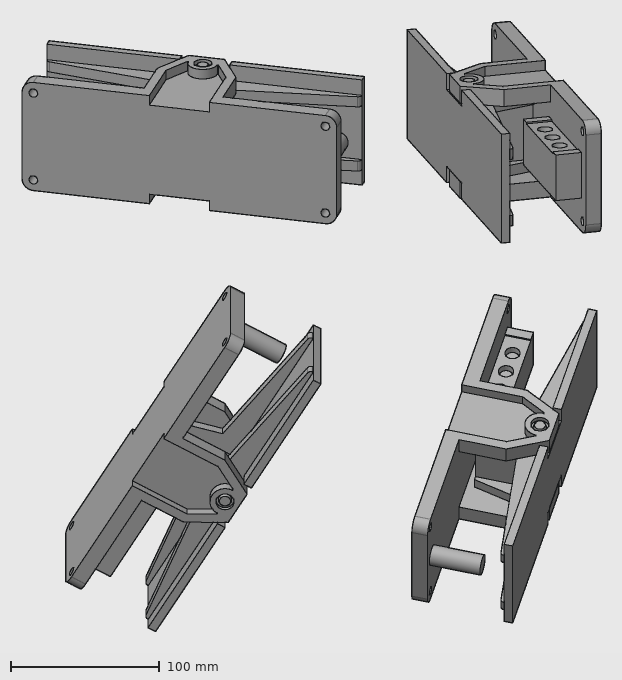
import cadquery as cq
import math

BASE_LENGTH = 219.5
BASE_HEIGHT = 80.0
BASE_THICKNESS = 11.0
CORNER_RADIUS = 8.0
MOUNT_HOLE_DIAMETER = 6.0

CHEEK_WIDTH = 55.0
CHEEK_TOP_WIDTH = 25.0
CHEEK_SHOULDER_Y = 43.8
CHEEK_TOP_Y = 70.0
CHEEK_THICKNESS = 12.0
POCKET_WALL = 6.5
POCKET_SHOULDER_Y = 42.5
POCKET_DEPTH = 7.0
BOSS_DIAMETER = 20.2

PIVOT_Y = 60.0
PIN_DIAMETER = 9.0
PIN_TIP_DIAMETER = 7.5
PIN_RECESS = 0.9
COUNTERBORE_DIAMETER = 12.0
COUNTERBORE_DEPTH = 3.0

BLOCK_LEFT = -99.7
BLOCK_LENGTH = 75.7
BLOCK_RISE = 18.0
BLOCK_HEIGHT = 32.5
BLOCK_END_WALL = 6.8
BLOCK_RECESS = 1.0
SOCKET_COUNT = 3
SOCKET_PITCH = 17.0
SOCKET_MOUTH_DIAMETER = 10.1
SOCKET_FLOOR_DIAMETER = 9.0
SOCKET_DEPTH = 4.5

POST_X = 98.1
POST_DIAMETER = 14.0
POST_TOP_Y = 46.2

PEDAL_LENGTH = 220.0
PEDAL_HEIGHT = 77.9
PEDAL_TOP_Y = 70.5
PEDAL_THICKNESS = 6.0
NOTCH_WIDTH = 35.0
SIDE_GAP = 0.5
RIB_THICKNESS = 7.5
RIB_END_Y = 61.8
RIB_CORNER_RADIUS = 2.6
ARM_TOP_Y = 48.8
ARM_BOTTOM_Y = 16.5
ARM_TOP_WIDTH = 32.1
ARM_BOTTOM_WIDTH = 15.5
WEB_THICKNESS = 10.0

cheek_outer_z = BASE_HEIGHT / 2
cheek_inner_z = cheek_outer_z - CHEEK_THICKNESS
pocket_floor_z = cheek_outer_z - POCKET_DEPTH
counterbore_floor_z = cheek_outer_z - COUNTERBORE_DEPTH
rib_outer_z = cheek_inner_z - SIDE_GAP
rib_inner_z = rib_outer_z - RIB_THICKNESS
plate_front_y = PEDAL_TOP_Y - PEDAL_THICKNESS
block_middle_x = BLOCK_LEFT + BLOCK_LENGTH / 2


def box(x_range, y_range, z_range):
    """Box between the given limits along each axis."""
    (x0, x1), (y0, y1), (z0, z1) = x_range, y_range, z_range
    return cq.Workplane("XY").box(x1 - x0, y1 - y0, z1 - z0, centered=False).translate((x0, y0, z0))


def centered_range(size):
    """Limits of a length centered on zero."""
    return -size / 2, size / 2


def z_plane(z):
    """Workplane parallel to XY at the given height."""
    return cq.Workplane("XY").workplane(offset=z)


def with_mirror(shape):
    """The shape joined with its reflection below the z = 0 plane."""
    return shape.union(shape.mirror("XY"))


def base_plate():
    plate = box(centered_range(BASE_LENGTH), (0, BASE_THICKNESS), centered_range(BASE_HEIGHT))
    plate = plate.edges("|Y").fillet(CORNER_RADIUS)
    return (
        plate.faces("<Y").workplane(centerOption="CenterOfBoundBox")
        .rect(BASE_LENGTH - 2 * CORNER_RADIUS, BASE_HEIGHT - 2 * CORNER_RADIUS, forConstruction=True)
        .vertices().hole(MOUNT_HOLE_DIAMETER)
    )


def cheek():
    """Upper cheek, with the pivot hole still to be cut."""
    half, half_top = CHEEK_WIDTH / 2, CHEEK_TOP_WIDTH / 2
    return (
        z_plane(cheek_inner_z)
        .polyline([(-half, 0), (-half, CHEEK_SHOULDER_Y), (-half_top, CHEEK_TOP_Y),
                   (half_top, CHEEK_TOP_Y), (half, CHEEK_SHOULDER_Y), (half, 0)])
        .close().extrude(CHEEK_THICKNESS)
    )


def cheek_pocket():
    """Pocket open at the foot of the cheek, running up to the round boss at the pivot."""
    lean = math.atan2((CHEEK_WIDTH - CHEEK_TOP_WIDTH) / 2, CHEEK_TOP_Y - CHEEK_SHOULDER_Y)
    half = CHEEK_WIDTH / 2 - POCKET_WALL
    half_top = half - (PIVOT_Y - POCKET_SHOULDER_Y) * math.tan(lean)
    pocket = (
        z_plane(pocket_floor_z)
        .polyline([(-half, 0), (-half, POCKET_SHOULDER_Y), (-half_top, PIVOT_Y),
                   (half_top, PIVOT_Y), (half, POCKET_SHOULDER_Y), (half, 0)])
        .close().extrude(POCKET_DEPTH)
    )
    boss = z_plane(pocket_floor_z).center(0, PIVOT_Y).circle(BOSS_DIAMETER / 2).extrude(POCKET_DEPTH)
    return pocket.cut(boss)


def pivot_hole():
    hole = z_plane(cheek_inner_z).center(0, PIVOT_Y).circle(PIN_DIAMETER / 2).extrude(CHEEK_THICKNESS)
    counterbore = (
        z_plane(counterbore_floor_z).center(0, PIVOT_Y)
        .circle(COUNTERBORE_DIAMETER / 2).extrude(COUNTERBORE_DEPTH)
    )
    return hole.union(counterbore)


def socket_block():
    """Block with a shallow recess between its end walls and a row of tapered sockets."""
    top_y = BASE_THICKNESS + BLOCK_RISE
    block_right = BLOCK_LEFT + BLOCK_LENGTH
    recess_floor_z = BLOCK_HEIGHT / 2 - BLOCK_RECESS
    block = box((BLOCK_LEFT, block_right), (BASE_THICKNESS, top_y), centered_range(BLOCK_HEIGHT))
    block = block.cut(box(
        (BLOCK_LEFT + BLOCK_END_WALL, block_right - BLOCK_END_WALL),
        (BASE_THICKNESS, top_y),
        (recess_floor_z, BLOCK_HEIGHT / 2),
    ))
    for index in range(SOCKET_COUNT):
        socket_x = block_middle_x + (index - (SOCKET_COUNT - 1) / 2) * SOCKET_PITCH
        socket = (
            z_plane(recess_floor_z).center(socket_x, BASE_THICKNESS + BLOCK_RISE / 2)
            .circle(SOCKET_MOUTH_DIAMETER / 2)
            .workplane(offset=-SOCKET_DEPTH).circle(SOCKET_FLOOR_DIAMETER / 2).loft()
        )
        block = block.cut(socket)
    return block


def stop_post():
    return (
        cq.Workplane("XZ", origin=(POST_X, BASE_THICKNESS, 0))
        .circle(POST_DIAMETER / 2).extrude(BASE_THICKNESS - POST_TOP_Y)
    )


def make_base():
    body = base_plate().union(with_mirror(cheek()))
    for cutter in (cheek_pocket(), pivot_hole()):
        body = body.cut(cutter).cut(cutter.mirror("XY"))
    return body.union(socket_block()).union(stop_post())


def pedal_plate():
    """Flat plate, notched top and bottom to clear the cheeks."""
    plate = box(
        centered_range(PEDAL_LENGTH),
        (plate_front_y, PEDAL_TOP_Y),
        centered_range(PEDAL_HEIGHT),
    )
    notch = box(centered_range(NOTCH_WIDTH), (plate_front_y, PEDAL_TOP_Y), (rib_outer_z, PEDAL_HEIGHT / 2))
    return plate.cut(notch).cut(notch.mirror("XY"))


def rib_with_arm():
    """Upper rib, deepening toward the pivot, with a tapered arm hanging from its middle."""
    half_length, half_top, half_bottom = BASE_LENGTH / 2, ARM_TOP_WIDTH / 2, ARM_BOTTOM_WIDTH / 2
    rib = (
        z_plane(rib_inner_z)
        .polyline([(-half_length, plate_front_y), (-half_length, RIB_END_Y), (-half_top, ARM_TOP_Y),
                   (-half_bottom, ARM_BOTTOM_Y), (half_bottom, ARM_BOTTOM_Y), (half_top, ARM_TOP_Y),
                   (half_length, RIB_END_Y), (half_length, plate_front_y)])
        .close().extrude(RIB_THICKNESS)
    )
    for side in (-1, 1):
        corner = (side * half_length, RIB_END_Y, (rib_inner_z + rib_outer_z) / 2)
        rib = rib.edges(cq.selectors.NearestToPointSelector(corner)).fillet(RIB_CORNER_RADIUS)
    return rib


def pivot_pin():
    """Upper pin, tapered where it stands free inside the counterbore."""
    tip_length = COUNTERBORE_DEPTH - PIN_RECESS
    return (
        z_plane(rib_outer_z).center(0, PIVOT_Y)
        .circle(PIN_DIAMETER / 2).extrude(counterbore_floor_z - rib_outer_z)
        .faces(">Z").workplane().circle(PIN_DIAMETER / 2)
        .workplane(offset=tip_length).circle(PIN_TIP_DIAMETER / 2).loft()
    )


def make_pedal():
    web = box(centered_range(WEB_THICKNESS), (ARM_BOTTOM_Y, plate_front_y), (-rib_inner_z, rib_inner_z))
    side = rib_with_arm().union(pivot_pin())
    return pedal_plate().union(with_mirror(side)).union(web)


base = make_base()
pedal = make_pedal()
result = cq.Compound.makeCompound([base.val(), pedal.val()])